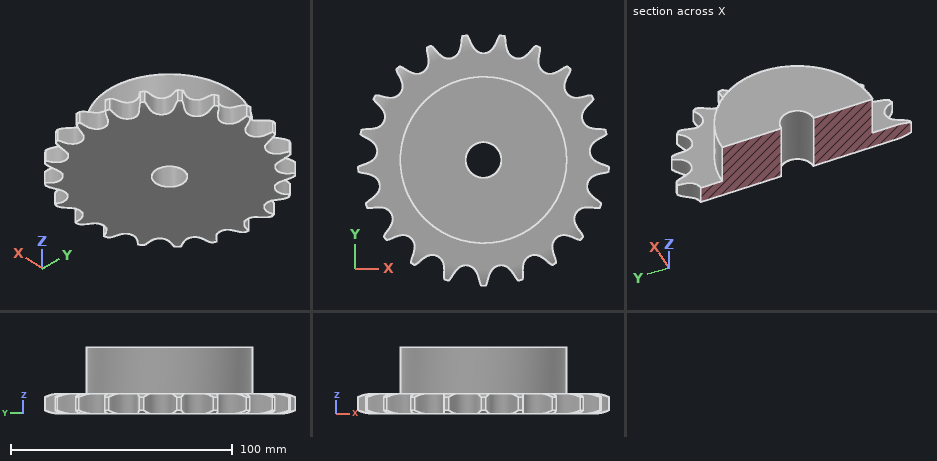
import cadquery as cq
import math

TEETH = 21
CHAIN_PITCH = 15.875
ROLLER_DIAMETER = 10.16
SEAT_CLEARANCE = 0.038
TIP_RADIUS = 56.7

PLATE_THICKNESS = 9.1
TOTAL_HEIGHT = 30.0
HUB_DIAMETER = 75.0
BORE_DIAMETER = 16.0

RELIEF_WIDTH = 6.9
RELIEF_RADIUS = CHAIN_PITCH

PITCH_RADIUS = CHAIN_PITCH / (2 * math.sin(math.pi / TEETH))
TOOTH_ANGLE = 360.0 / TEETH

SEAT_RADIUS = 0.5025 * ROLLER_DIAMETER + SEAT_CLEARANCE
WORKING_RADIUS = 1.3025 * ROLLER_DIAMETER + SEAT_CLEARANCE
WORKING_CENTER_OFFSET = 0.8 * ROLLER_DIAMETER
SEAT_END_ANGLE = 35 + 60 / TEETH
WORKING_ARC_ANGLE = 18 - 56 / TEETH
WORKING_END_ANGLE = SEAT_END_ANGLE - WORKING_ARC_ANGLE
TIP_ARC_ANGLE = 17 - 64 / TEETH
FLANK_LENGTH = ROLLER_DIAMETER * (
    1.4 * math.sin(math.radians(TIP_ARC_ANGLE)) - 0.8 * math.sin(math.radians(WORKING_ARC_ANGLE))
)
TIP_ARC_RADIUS = ROLLER_DIAMETER * (
    0.8 * math.cos(math.radians(WORKING_ARC_ANGLE)) + 1.4 * math.cos(math.radians(TIP_ARC_ANGLE)) - 1.3025
) - SEAT_CLEARANCE

CUTTER_OVERRUN = 1.0


def polar(center, radius, angle):
    """Point at a radius and an angle in degrees around a center."""
    turn = math.radians(angle)
    return (center[0] + radius * math.cos(turn), center[1] + radius * math.sin(turn))


def mirrored(point):
    """Same point on the other side of the gap's center line."""
    return (-point[0], point[1])


def tip_crossing(center):
    """Angle on the tip arc at which it meets the tip circle."""
    distance = math.hypot(*center)
    cosine = (TIP_RADIUS**2 - distance**2 - TIP_ARC_RADIUS**2) / (2 * distance * TIP_ARC_RADIUS)
    bearing = math.degrees(math.atan2(center[1], center[0]))
    return bearing + math.degrees(math.acos(cosine))


def tooth_gap():
    """Cutter for one gap between teeth, centered on the +Y axis."""
    seat_center = (0, PITCH_RADIUS)
    seat_bottom = (0, PITCH_RADIUS - SEAT_RADIUS)
    seat_end = polar(seat_center, SEAT_RADIUS, -SEAT_END_ANGLE)

    working_center = polar(seat_center, WORKING_CENTER_OFFSET, 180 - SEAT_END_ANGLE)
    working_middle = polar(working_center, WORKING_RADIUS, -(SEAT_END_ANGLE + WORKING_END_ANGLE) / 2)
    working_end = polar(working_center, WORKING_RADIUS, -WORKING_END_ANGLE)

    flank_end = polar(working_end, FLANK_LENGTH, 90 - WORKING_END_ANGLE)
    tip_arc_start = 180 - WORKING_END_ANGLE
    tip_arc_center = polar(flank_end, TIP_ARC_RADIUS, -WORKING_END_ANGLE)
    tip_arc_end = tip_crossing(tip_arc_center)
    tip_middle = polar(tip_arc_center, TIP_ARC_RADIUS, (tip_arc_start + tip_arc_end) / 2)
    tip = polar(tip_arc_center, TIP_ARC_RADIUS, tip_arc_end)
    outer = (tip[0], TIP_RADIUS + CUTTER_OVERRUN)

    return (
        cq.Workplane("XY")
        .moveTo(*mirrored(seat_end))
        .threePointArc(seat_bottom, seat_end)
        .threePointArc(working_middle, working_end)
        .lineTo(*flank_end)
        .threePointArc(tip_middle, tip)
        .lineTo(*outer)
        .lineTo(*mirrored(outer))
        .lineTo(*mirrored(tip))
        .threePointArc(mirrored(tip_middle), mirrored(flank_end))
        .lineTo(*mirrored(working_end))
        .threePointArc(mirrored(working_middle), mirrored(seat_end))
        .close()
        .extrude(PLATE_THICKNESS)
    )


def plate_blank():
    """Disc whose rim is thinned by an arc on both faces."""
    def relief_depth(distance):
        return RELIEF_RADIUS - math.sqrt(RELIEF_RADIUS**2 - distance**2)

    relief_start = TIP_RADIUS - RELIEF_WIDTH
    relief_middle = TIP_RADIUS - RELIEF_WIDTH / 2
    middle_depth = relief_depth(RELIEF_WIDTH / 2)
    tip_depth = relief_depth(RELIEF_WIDTH)
    return (
        cq.Workplane("XZ")
        .lineTo(relief_start, 0)
        .threePointArc((relief_middle, middle_depth), (TIP_RADIUS, tip_depth))
        .lineTo(TIP_RADIUS, PLATE_THICKNESS - tip_depth)
        .threePointArc((relief_middle, PLATE_THICKNESS - middle_depth), (relief_start, PLATE_THICKNESS))
        .lineTo(0, PLATE_THICKNESS)
        .close()
        .revolve(360, (0, 0, 0), (0, 1, 0))
    )


def toothed_plate():
    """Plate with all the tooth gaps cut from its rim."""
    plate = plate_blank()
    gap = tooth_gap()
    for index in range(TEETH):
        turn = index * TOOTH_ANGLE
        plate = plate.cut(gap.rotate((0, 0, 0), (0, 0, 1), turn))
    return plate


def hub():
    """Round hub rising from the plate's lower face to full height."""
    return cq.Workplane("XY").circle(HUB_DIAMETER / 2).extrude(TOTAL_HEIGHT)


def bore():
    """Shaft bore through the whole part."""
    return cq.Workplane("XY").circle(BORE_DIAMETER / 2).extrude(TOTAL_HEIGHT)


result = toothed_plate().union(hub()).cut(bore())